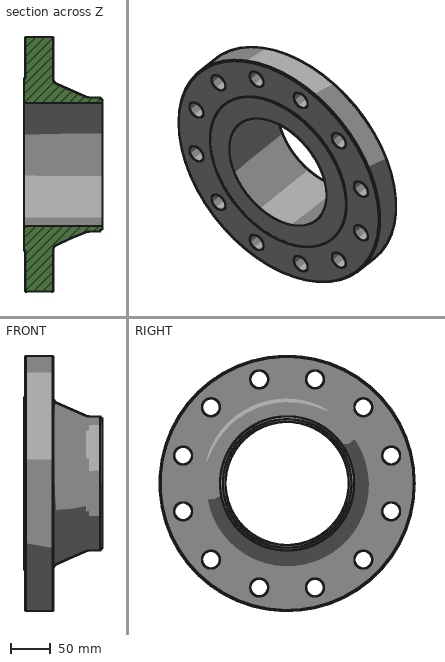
import cadquery as cq

total_length = 99.0
flange_diameter = 320.0
face_diameter = 216.0
face_height = 1.5
flange_back = 37.0
rim_chamfer = 1.3

hub_diameter = 206.0
neck_diameter = 168.3
neck_length = 19.0
hub_base_fillet = 6.5
neck_fillet = 9.5
weld_bevel = 3.5
bore_diameter = 154.2

bolt_count = 12
bolt_circle_diameter = 270.0
bolt_hole_diameter = 22.0
pitch_angle = 360.0 / bolt_count

neck_start = total_length - neck_length


def disc(start, end, diameter):
    """Solid cylinder about the X axis between two X positions."""
    return cq.Workplane("YZ", origin=(start, 0, 0)).circle(diameter / 2).extrude(end - start)


def make_flange():
    plate = disc(face_height, flange_back, flange_diameter).edges().chamfer(rim_chamfer)
    return plate.union(disc(0, flange_back, face_diameter))


def make_hub():
    hub_profile = (
        cq.Workplane("XY")
        .moveTo(face_height, 0)
        .lineTo(face_height, hub_diameter / 2)
        .lineTo(flange_back, hub_diameter / 2)
        .lineTo(neck_start, neck_diameter / 2)
        .lineTo(total_length, neck_diameter / 2)
        .lineTo(total_length, 0)
        .close()
    )
    return hub_profile.revolve(360, (0, 0, 0), (1, 0, 0)).faces(">X").edges().chamfer(weld_bevel)


def circle_edge_at(body, x, diameter):
    """Circular edge of the body centred at x on the axis with the given diameter."""
    tolerance = 0.03
    radius = diameter / 2
    box = cq.selectors.BoxSelector(
        (x - tolerance, -radius - tolerance, -radius - tolerance),
        (x + tolerance, radius + tolerance, radius + tolerance),
        boundingbox=True,
    )
    return body.edges(box)


def make_bolt_holes():
    return (
        cq.Workplane("YZ")
        .polarArray(bolt_circle_diameter / 2, pitch_angle / 2, 360, bolt_count)
        .circle(bolt_hole_diameter / 2)
        .extrude(flange_back)
    )


body = make_flange().union(make_hub())
body = circle_edge_at(body, flange_back, hub_diameter).fillet(hub_base_fillet)
body = circle_edge_at(body, neck_start, neck_diameter).fillet(neck_fillet)
result = body.cut(disc(0, total_length, bore_diameter)).cut(make_bolt_holes())